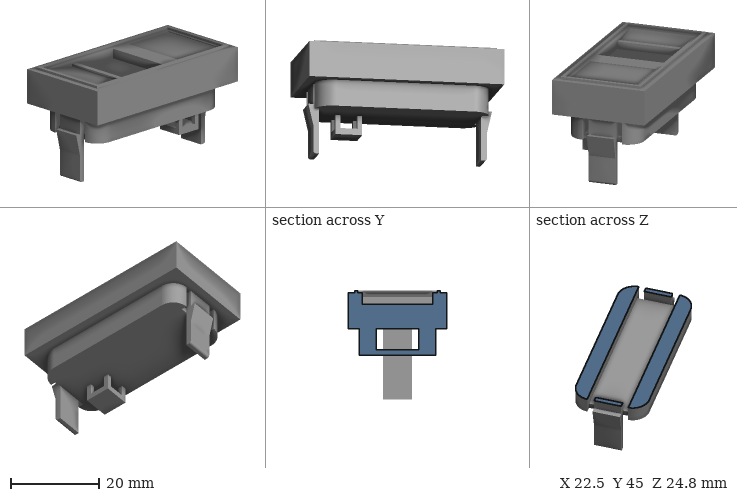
import cadquery as cq


BEZEL_WIDTH = 22.5
BEZEL_LENGTH = 45.0
BEZEL_HEIGHT = 8.2
RIM_WIDTH = 19.4
RIM_LENGTH = 42.1
RIM_OPENING_WIDTH = 18.0
RIM_OPENING_LENGTH = 40.4
RIM_HEIGHT = 0.55

WINDOW_WIDTH = 15.98
LABEL_BACK = 19.5
LABEL_FRONT = 6.55
LABEL_DEPTH = 0.2
POCKET_BACK = 1.65
POCKET_FRONT = -11.65
RAMP_END = -18.7
RAMP_DEPTH = 1.05

SLIDER_GAP = 0.15
SLIDER_DEPTH = 2.3
GAP_BELOW_SLIDER_FLOOR = 0.22
POCKET_DEPTH = SLIDER_DEPTH + GAP_BELOW_SLIDER_FLOOR
RIDGE_WIDTH = 1.25
RIDGE_DEPTH = 0.5

BODY_WIDTH = 17.4
BODY_LENGTH = 40.1
BODY_DEPTH = 6.05
BODY_RADIUS = 4.0
CHANNEL_WIDTH = 9.65
CHANNEL_DEPTH = 4.72

CLIP_WIDTH = 6.5
CLIP_THICKNESS = 1.35
CLIP_DEPTH = 16.05
BARB_REACH = 1.15
BARB_TOP = 4.6
BARB_BOTTOM = 9.6
CLIP_TIP_RADIUS = 0.6

CAGE_SIZE = 6.15
CAGE_WALL = 1.12
CAGE_OUTER_X = 6.98
CAGE_CENTER_Y = 11.05
CAGE_DEPTH = 10.45
CAGE_BASE = 1.45


def block(width, y_range, z_range, x_center=0.0):
    """Box centred on x_center, spanning the given Y and Z ranges."""
    y_low, y_high = y_range
    z_low, z_high = z_range
    return (
        cq.Workplane("XY", origin=(x_center, (y_low + y_high) / 2, z_low))
        .rect(width, y_high - y_low)
        .extrude(z_high - z_low)
    )


def side_profile(points, width):
    """Extrude a (Y, Z) outline evenly to both sides of X = 0."""
    return cq.Workplane("YZ").polyline(points).close().extrude(width / 2, both=True)


def make_bezel():
    bezel = block(BEZEL_WIDTH, (-BEZEL_LENGTH / 2, BEZEL_LENGTH / 2), (0, BEZEL_HEIGHT))
    rim = (
        cq.Workplane("XY", origin=(0, 0, BEZEL_HEIGHT))
        .rect(RIM_WIDTH, RIM_LENGTH)
        .rect(RIM_OPENING_WIDTH, RIM_OPENING_LENGTH)
        .extrude(RIM_HEIGHT)
    )
    return bezel.union(rim)


def cut_windows(bezel):
    top = BEZEL_HEIGHT
    label = block(WINDOW_WIDTH, (LABEL_FRONT, LABEL_BACK), (top - LABEL_DEPTH, top))
    pocket = block(WINDOW_WIDTH, (POCKET_FRONT, POCKET_BACK), (top - POCKET_DEPTH, top))
    ramp = side_profile(
        [(POCKET_FRONT, top), (POCKET_FRONT, top - RAMP_DEPTH), (RAMP_END, top)],
        WINDOW_WIDTH,
    )
    return bezel.cut(label).cut(pocket).cut(ramp)


def make_slider():
    front = POCKET_FRONT + SLIDER_GAP
    ridge_back = front + RIDGE_WIDTH
    pocket_floor = BEZEL_HEIGHT - POCKET_DEPTH
    width = WINDOW_WIDTH - 2 * SLIDER_GAP
    plate = block(width, (front, POCKET_BACK), (pocket_floor, BEZEL_HEIGHT - SLIDER_DEPTH))
    ridge = block(width, (front, ridge_back), (pocket_floor, BEZEL_HEIGHT - RIDGE_DEPTH))
    return plate.union(ridge)


def make_body():
    end = BODY_LENGTH / 2
    body = block(BODY_WIDTH, (-end, end), (-BODY_DEPTH, 0)).edges("|Z").fillet(BODY_RADIUS)
    body = body.cut(block(CHANNEL_WIDTH, (-end, end), (-CHANNEL_DEPTH, 0)))
    floor_end = end - CLIP_THICKNESS
    for y_range in [(-end, -floor_end), (floor_end, end)]:
        body = body.cut(block(CHANNEL_WIDTH, y_range, (-BODY_DEPTH, 0)))
    return body


def make_clip():
    """Clip at the +Y end, with a barb facing outward and a rounded tip."""
    outer = BODY_LENGTH / 2
    inner = outer - CLIP_THICKNESS
    strip = block(CLIP_WIDTH, (inner, outer), (-CLIP_DEPTH, 0))
    strip = strip.edges("|X and >Y and <Z").fillet(CLIP_TIP_RADIUS)
    barb = side_profile(
        [
            (inner, -BARB_TOP),
            (outer + BARB_REACH, -BARB_TOP),
            (outer, -BARB_BOTTOM),
            (inner, -BARB_BOTTOM),
        ],
        CLIP_WIDTH,
    )
    return strip.union(barb)


def make_cage():
    x_center = CAGE_OUTER_X - CAGE_SIZE / 2
    opening = CAGE_SIZE - 2 * CAGE_WALL
    opening_z = (CAGE_BASE - CAGE_DEPTH, -BODY_DEPTH)
    outer_y = (CAGE_CENTER_Y - CAGE_SIZE / 2, CAGE_CENTER_Y + CAGE_SIZE / 2)
    opening_y = (CAGE_CENTER_Y - opening / 2, CAGE_CENTER_Y + opening / 2)
    cage = block(CAGE_SIZE, outer_y, (-CAGE_DEPTH, -BODY_DEPTH), x_center)
    cage = cage.cut(block(CAGE_SIZE, opening_y, opening_z, x_center))
    return cage.cut(block(opening, outer_y, opening_z, x_center))


clip = make_clip()
result = (
    cut_windows(make_bezel())
    .union(make_slider())
    .union(make_body())
    .union(clip)
    .union(clip.mirror("XZ"))
    .union(make_cage())
)